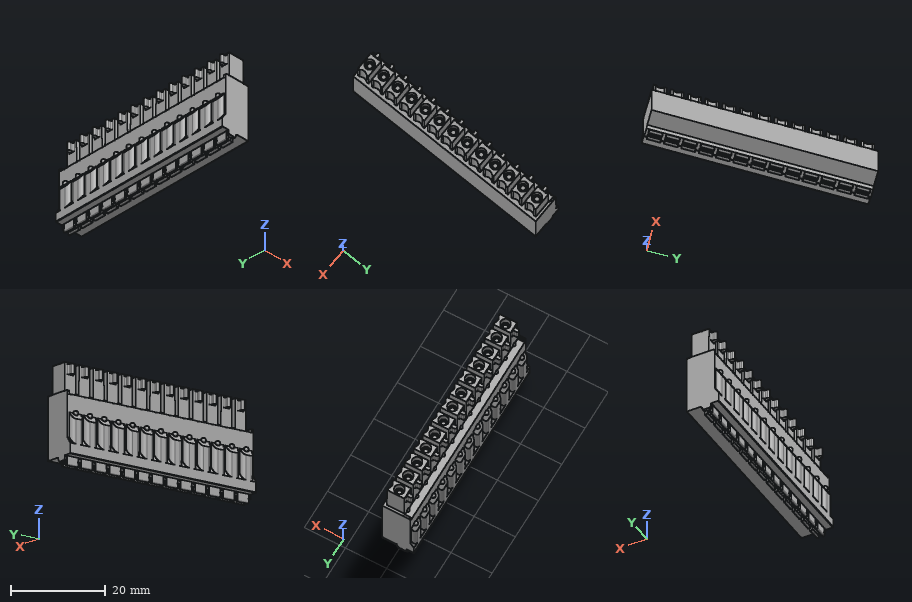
import cadquery as cq
import math

pole_count = 13
body_length = 49.9
end_margin = 2.1
pitch = (body_length - 2 * end_margin) / (pole_count - 1)
body_depth = 7.75
body_bottom = 2.05
body_top = 16.25
overall_height = 22.9

wall_x = 0.95
lip_top = 4.4
ramp_top = 5.85
wall_chamfer = 0.25
lip_chamfer = 0.1

ledge_z = 15.45
end_plate = 0.5

tower_x = 2.7
tower_back = 6.95
tower_width = 2.95
tower_top_width = 2.85
groove_width = 1.85
groove_depth = 0.35
hole_x = 4.75
hole_diameter = 2.3
hole_floor_diameter = 1.8
hole_depth = 1.2
bore_diameter = 1.2
bore_depth = 0.5

pin_front = 1.5
pin_bottom = 20.25
pin_top = 22.5
pin_width = 0.85
pin_fillet = 0.35

column_width = 3.25
column_top = 11.4
column_slope_end = 9.95
ball_radius = 0.55
ball_x = 0.8
ball_z = 11.4
ledge_ball_x = 2.85

rail_x = 1.8
rail_top_depth = 2.5
rail_bottom_depth = 2.0
rail_bottom = 1.05
rail_setback = 0.1
rail_chamfer = 0.15
rail_cove = 0.3
foot_width = 3.0
rear_prong_setback = 0.1
prong_root = 0.75
prong_width = 0.55
prong_root_end = 0.55
prong_tip_radius = 0.2

pole_positions = [(i - (pole_count - 1) / 2) * pitch for i in range(pole_count)]


def along_y(points, length):
    """Closed XZ outline extruded symmetrically along Y."""
    return cq.Workplane("XZ").polyline(points).close().extrude(length / 2, both=True)


def make_housing():
    """Main body with its lower lip, the foot rail and the ledge along the top front corner."""
    outline = [
        (0, body_bottom + lip_chamfer),
        (lip_chamfer, body_bottom),
        (rail_x, body_bottom),
        (rail_x + rail_setback, body_bottom - rail_cove),
        (rail_x + rail_setback, rail_bottom + rail_chamfer),
        (rail_x + rail_setback + rail_chamfer, rail_bottom),
        (rail_x + rail_bottom_depth, rail_bottom),
        (rail_x + rail_top_depth, body_bottom),
        (body_depth, body_bottom),
        (body_depth, body_top),
        (wall_x + wall_chamfer, body_top),
        (wall_x, body_top - wall_chamfer),
        (wall_x, ramp_top),
        (0, lip_top),
    ]
    ledge = along_y(
        [(0, ledge_z), (tower_x, ledge_z), (tower_x, body_top), (0, body_top)],
        body_length - 2 * end_plate,
    )
    return along_y(outline, body_length).cut(ledge)


def make_tower():
    """Slightly tapered tower with a grooved back and a stepped hole in its top."""
    tower = (
        cq.Workplane("YZ")
        .polyline([
            (-tower_width / 2, body_top),
            (tower_width / 2, body_top),
            (tower_top_width / 2, overall_height),
            (-tower_top_width / 2, overall_height),
        ])
        .close()
        .extrude(tower_back - tower_x)
        .translate((tower_x, 0, 0))
    )
    groove = (
        cq.Workplane("XY", origin=(0, 0, body_top))
        .moveTo(tower_back, -groove_width / 2)
        .threePointArc((tower_back - groove_depth, 0), (tower_back, groove_width / 2))
        .close()
        .extrude(overall_height - body_top)
    )
    hole = (
        cq.Workplane("XY", origin=(hole_x, 0, overall_height))
        .circle(hole_diameter / 2)
        .workplane(offset=-hole_depth)
        .circle(hole_floor_diameter / 2)
        .loft(ruled=True)
    )
    bore = (
        cq.Workplane("XY", origin=(hole_x, 0, overall_height - hole_depth))
        .circle(bore_diameter / 2)
        .extrude(-bore_depth)
    )
    return tower.cut(groove).cut(hole).cut(bore)


def make_pin():
    """Pin with a rounded nose, flared where it meets the tower."""
    half = pin_width / 2
    r = pin_fillet
    mid = r * (1 - math.sqrt(0.5))
    return (
        cq.Workplane("XY", origin=(0, 0, pin_bottom))
        .moveTo(tower_x, half + r)
        .threePointArc((tower_x - mid, half + mid), (tower_x - r, half))
        .lineTo(pin_front + r, half)
        .threePointArc((pin_front + mid, half - mid), (pin_front, half - r))
        .lineTo(pin_front, r - half)
        .threePointArc((pin_front + mid, mid - half), (pin_front + r, -half))
        .lineTo(tower_x - r, -half)
        .threePointArc((tower_x - mid, -half - mid), (tower_x, -half - r))
        .close()
        .extrude(pin_top - pin_bottom)
    )


def make_column():
    """Column whose front edges are rounded back to the wall, with a sloping top."""
    half = column_width / 2
    flat = half - wall_x
    corner = wall_x * (1 - math.sqrt(0.5))
    column = (
        cq.Workplane("XY", origin=(0, 0, lip_top))
        .moveTo(wall_x, -half)
        .threePointArc((corner, corner - half), (0, -flat))
        .lineTo(0, flat)
        .threePointArc((corner, half - corner), (wall_x, half))
        .close()
        .extrude(column_top - lip_top)
    )
    slope = along_y([(0, column_slope_end), (wall_x, column_top), (0, column_top)], column_width)
    return column.cut(slope)


def make_foot():
    """Full-depth stretch of the rail with two round-tipped prongs below it."""
    rail_back = rail_x + rail_bottom_depth
    foot = along_y(
        [
            (rail_x, body_bottom),
            (rail_x, rail_bottom),
            (rail_back, rail_bottom),
            (rail_x + rail_top_depth, body_bottom),
        ],
        foot_width,
    )
    for outer_x, inward in ((rail_x, 1), (rail_back - rear_prong_setback, -1)):
        prong = along_y(
            [
                (outer_x, rail_bottom),
                (outer_x, 0),
                (outer_x + inward * prong_width, 0),
                (outer_x + inward * prong_width, prong_root_end),
                (outer_x + inward * prong_root, rail_bottom),
            ],
            foot_width,
        )
        foot = foot.union(prong.edges("|Y and <Z").fillet(prong_tip_radius))
    return foot


def make_ball(x, z):
    return cq.Workplane("XY").sphere(ball_radius).translate((x, 0, z))


pole = (
    make_tower()
    .union(make_pin())
    .union(make_column())
    .union(make_foot())
    .union(make_ball(ball_x, ball_z))
    .union(make_ball(ledge_ball_x, ledge_z))
)

result = make_housing()
for y in pole_positions:
    result = result.union(pole.translate((0, y, 0)))